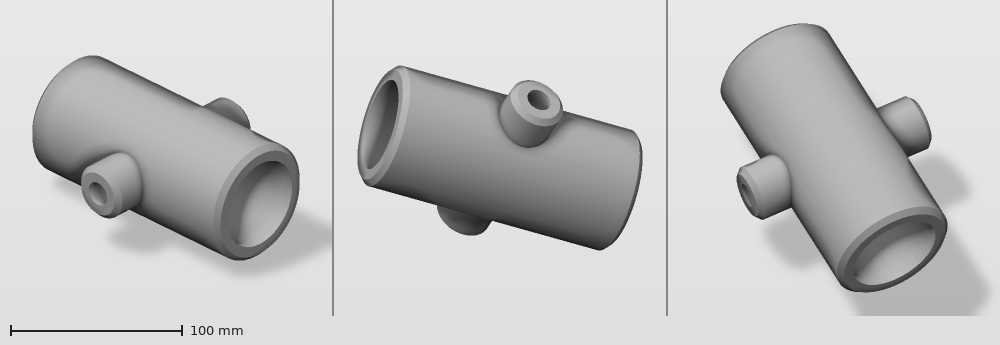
import cadquery as cq

tube_length = 152.4
tube_diameter = 73.0
tube_bore = 54.0

branch_span = 114.3
branch_diameter = 33.4
branch_bore = 14.6

bevel = 3.2


def beveled_cylinder(plane, diameter, length):
    """Solid cylinder centred on the origin with both end edges bevelled."""
    cylinder = cq.Workplane(plane).circle(diameter / 2).extrude(length / 2, both=True)
    return cylinder.faces("|X or |Y").chamfer(bevel)


def bore(plane, diameter, length):
    """Centred cylinder used to cut a through bore."""
    return cq.Workplane(plane).circle(diameter / 2).extrude(length / 2, both=True)


tube = beveled_cylinder("YZ", tube_diameter, tube_length)
branches = beveled_cylinder("XZ", branch_diameter, branch_span)

result = (
    tube.union(branches)
    .cut(bore("YZ", tube_bore, tube_length))
    .cut(bore("XZ", branch_bore, branch_span))
)